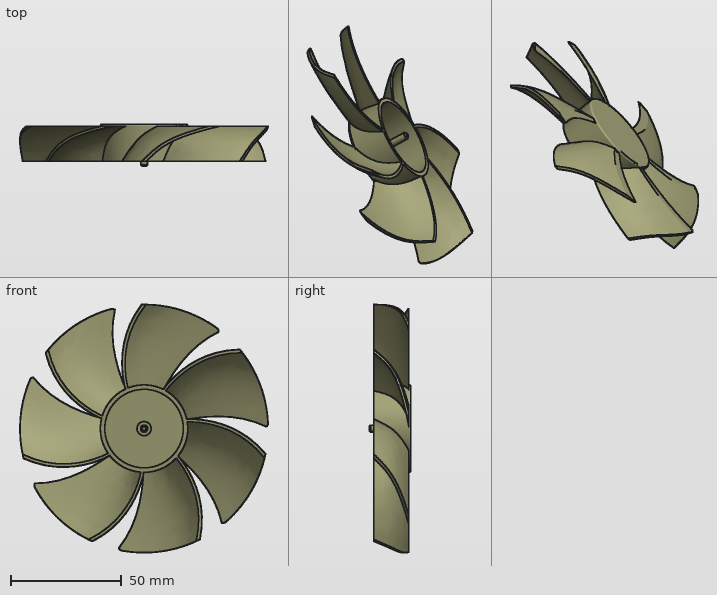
import cadquery as cq
import math

hub_radius = 19.7
hub_wall = 2.0
hub_bore_radius = hub_radius - hub_wall
hub_floor = 2.0
hub_edge_round = 0.9

blade_depth = 15.9
rear_projection = 0.9
shaft_protrusion = 2.11
hub_length = blade_depth + rear_projection
floor_station = hub_length - hub_floor

shaft_radius = 1.6
shaft_chamfer = 0.7
collar_radius = 3.2
collar_height = 3.0

blade_count = 7
tip_radius = 55.95
blade_thickness = 1.2
tip_corner_round = 2.0
lead_angle_hub = 111.7
lead_angle_tip = 89.1
lead_angle_bow = 1.6
trail_angle_hub = 63.4
trail_angle_tip = 51.9
trail_angle_bow = 1.9

camber_linear_share = 0.45
camber_power = 3.5

sheet_radial_margin = 1.6
sheet_axial_margin = 0.06
sheet_rows = 14
sheet_columns = 14
root_embed = 1.0
sheet_tolerance = 0.01
sheet_min_degree = 3
sheet_max_degree = 6


def bowed(at_hub, at_tip, bow, span):
    """Value running from hub to tip (span 0 to 1) with a parabolic bow between."""
    return at_hub + (at_tip - at_hub) * span + 4 * bow * span * (1 - span)


def blade_angle(radius, depth):
    """Polar angle of the pressure face at a radius and a share of the blade depth."""
    span = (radius - hub_radius) / (tip_radius - hub_radius)
    lead = bowed(lead_angle_hub, lead_angle_tip, lead_angle_bow, span)
    trail = bowed(trail_angle_hub, trail_angle_tip, trail_angle_bow, span)
    curl = math.copysign(abs(depth) ** camber_power, depth)
    swept = camber_linear_share * depth + (1 - camber_linear_share) * curl
    return math.radians(lead + (trail - lead) * swept)


def sheet_point(radius, depth):
    """Point of the pressure face at a radius and a share of the blade depth."""
    angle = blade_angle(radius, depth)
    return cq.Vector(radius * math.cos(angle), depth * blade_depth, radius * math.sin(angle))


def spread(start, end, count):
    """Evenly spaced values from start to end, both included."""
    return [start + (end - start) * i / (count - 1) for i in range(count)]


def make_hub():
    cup = cq.Workplane("XZ").circle(hub_radius).extrude(-hub_length)
    cup = cup.faces(">Y").edges().fillet(hub_edge_round)
    bore = cq.Workplane("XZ").circle(hub_bore_radius).extrude(-floor_station)
    return cup.cut(bore)


def make_shaft():
    floor_plane = cq.Workplane("XZ", origin=(0, floor_station, 0))
    shaft = floor_plane.circle(shaft_radius).extrude(floor_station + shaft_protrusion)
    shaft = shaft.faces("<Y").edges().chamfer(shaft_chamfer)
    collar = floor_plane.circle(collar_radius).extrude(collar_height)
    return shaft.union(collar)


def make_tip_corner_cutter():
    """Sharp corner between the tip circle and the trailing edge, outside its rounding."""
    inner_radius = tip_radius - tip_corner_round
    trail = blade_angle(tip_radius, 1.0)
    center_angle = trail + tip_corner_round / inner_radius
    block_side = 2 * tip_corner_round
    block_plane = cq.Workplane("XZ").center(tip_radius, -tip_corner_round)
    block = block_plane.rect(block_side, block_side).extrude(-blade_depth)
    disc = cq.Workplane("XZ").center(inner_radius, 0).circle(tip_corner_round).extrude(-blade_depth)
    return block.cut(disc).rotate((0, 0, 0), (0, 1, 0), -math.degrees(center_angle))


def make_blade():
    radii = spread(hub_radius - sheet_radial_margin, tip_radius + sheet_radial_margin, sheet_rows)
    depths = spread(-sheet_axial_margin, 1 + sheet_axial_margin, sheet_columns)
    grid = [[sheet_point(radius, depth) for depth in depths] for radius in radii]
    sheet = cq.Face.makeSplineApprox(grid, sheet_tolerance, minDeg=sheet_min_degree, maxDeg=sheet_max_degree)
    blade = cq.Workplane(sheet.thicken(blade_thickness))
    root_radius = hub_radius - root_embed
    envelope = cq.Workplane("XZ").circle(tip_radius).circle(root_radius).extrude(-blade_depth)
    return blade.intersect(envelope).cut(make_tip_corner_cutter())


def make_fan():
    fan = make_hub().union(make_shaft())
    blade = make_blade()
    for i in range(blade_count):
        fan = fan.union(blade.rotate((0, 0, 0), (0, 1, 0), i * 360 / blade_count))
    return fan


result = make_fan()